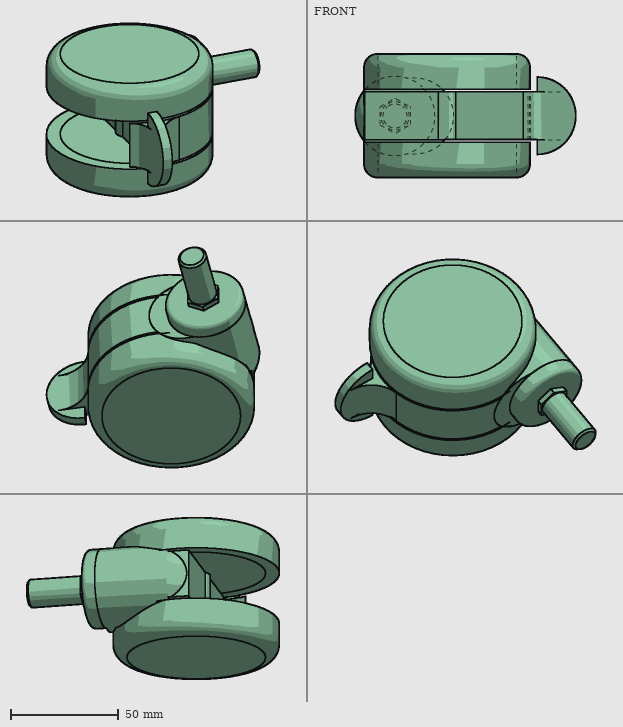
import cadquery as cq
import math

wheel_radius = 38.8
wheel_outer_z = 28.91
wheel_inner_z = 12.3
tire_round = 6.5
hub_radius = wheel_radius - tire_round

swivel_x = -24.3
swivel_radius = 18.6
housing_top_y = 38.8
barrel_bottom_y = 4.5
back_center_x = -14.7
back_radius = 17.7
frame_half_thickness = 11.2
frame_bottom_y = -5.2
boss_radius = 6.6
dome_depth = 9.0
dome_end_radius = 14.0
dome_mid_depth = 4.3
dome_mid_radius = 17.1

cap_top_y = 45.6
cap_round = 2.5
hex_across_flats = 14.3
hex_top_y = 48.3
stud_radius = 6.62
stud_top_y = 74.4
stud_chamfer = 1.0

pedal_radius = 18.1
pedal_center_x = 42.1
pedal_top_y = -4.4
pedal_thickness = 4.6
pedal_bottom_y = pedal_top_y - pedal_thickness
lever_upper_radius = 17.0
lever_lower_radius = 10.6


def rod_along_y(radius, bottom_y, top_y):
    """Round bar on the swivel axis."""
    plane = cq.Plane(origin=(swivel_x, bottom_y, 0), xDir=(0, 0, 1), normal=(0, 1, 0))
    return cq.Workplane(plane).circle(radius).extrude(top_y - bottom_y)


def disc(radius, bottom_z, top_z):
    """Round plate on the wheel axis."""
    return cq.Workplane("XY", origin=(0, 0, bottom_z)).circle(radius).extrude(top_z - bottom_z)


def place_on_side(body, side):
    """Keep a body on the +Z side, or turn it over onto the -Z side."""
    if side > 0:
        return body
    return body.rotate((0, 0, 0), (1, 0, 0), 180)


def make_hub(side):
    return place_on_side(disc(hub_radius, wheel_inner_z, wheel_outer_z), side)


def make_tire(side):
    """Ring whose outer shoulder is a quarter round reaching the hub."""
    shoulder_z = wheel_outer_z - tire_round
    diagonal = tire_round * math.sqrt(0.5)
    ring = (
        cq.Workplane("XZ")
        .moveTo(hub_radius, wheel_inner_z)
        .lineTo(wheel_radius, wheel_inner_z)
        .lineTo(wheel_radius, shoulder_z)
        .threePointArc((hub_radius + diagonal, shoulder_z + diagonal), (hub_radius, wheel_outer_z))
        .close()
        .revolve(360, (0, 0, 0), (0, 1, 0))
    )
    return place_on_side(ring, side)


def make_barrel():
    """Swivel barrel with a flat-sided back, cut away to clear both wheels."""
    height = housing_top_y - barrel_bottom_y
    barrel = rod_along_y(swivel_radius, barrel_bottom_y, housing_top_y)
    back = rod_along_y(back_radius, barrel_bottom_y, housing_top_y).translate((back_center_x - swivel_x, 0, 0))
    sides = cq.Workplane("XY").box(
        back_center_x - swivel_x, height, 2 * back_radius, centered=(False, False, True)
    ).translate((swivel_x, barrel_bottom_y, 0))
    barrel = barrel.union(back).union(sides)
    for side in (1, -1):
        barrel = barrel.cut(place_on_side(disc(wheel_radius, wheel_inner_z, wheel_outer_z), side))
    return barrel


def make_dome():
    """Rounded lower end of the barrel, as thick as the frame."""
    dome = (
        cq.Workplane("XY", origin=(swivel_x, barrel_bottom_y, 0))
        .moveTo(0, 0)
        .lineTo(swivel_radius, 0)
        .threePointArc((dome_mid_radius, -dome_mid_depth), (dome_end_radius, -dome_depth))
        .lineTo(0, -dome_depth)
        .close()
        .revolve(360, (0, 0, 0), (0, 1, 0))
    )
    return dome.intersect(disc(2 * wheel_radius, -frame_half_thickness, frame_half_thickness))


def make_housing():
    """Barrel, dome, and a disc-shaped frame cut flat below the axle boss."""
    frame = disc(wheel_radius, -frame_half_thickness, frame_half_thickness)
    below = cq.Workplane("XY").box(
        2 * wheel_radius, wheel_radius, 2 * frame_half_thickness
    ).translate((0, frame_bottom_y - wheel_radius / 2, 0))
    boss = disc(boss_radius, -frame_half_thickness, frame_half_thickness)
    return frame.cut(below).union(boss).union(make_dome()).union(make_barrel())


def make_cap():
    cap = rod_along_y(swivel_radius, housing_top_y, cap_top_y)
    return cap.faces(">Y").edges().fillet(cap_round)


def make_stud():
    """Stem standing on a hexagon with its corners toward +Z and -Z."""
    plane = cq.Plane(origin=(swivel_x, cap_top_y, 0), xDir=(0, 0, 1), normal=(0, 1, 0))
    hexagon_diameter = hex_across_flats / math.cos(math.pi / 6)
    hexagon = cq.Workplane(plane).polygon(6, hexagon_diameter).extrude(hex_top_y - cap_top_y)
    stem = rod_along_y(stud_radius, hex_top_y, stud_top_y).faces(">Y").edges().chamfer(stud_chamfer)
    return hexagon.union(stem)


def make_lever():
    """Web hugging the frame disc and blending by tangent arcs into a half-round pedal."""
    upper_y = pedal_top_y + lever_upper_radius
    lower_y = pedal_bottom_y - lever_lower_radius
    upper_x = math.sqrt((wheel_radius + lever_upper_radius) ** 2 - upper_y ** 2)
    lower_x = math.sqrt((wheel_radius + lever_lower_radius) ** 2 - lower_y ** 2)
    upper_angle = math.atan2(upper_y, upper_x)
    lower_angle = math.atan2(lower_y, lower_x)

    def on_wheel(angle):
        return (wheel_radius * math.cos(angle), wheel_radius * math.sin(angle))

    upper_mid_angle = (upper_angle + math.pi + 3 * math.pi / 2) / 2
    upper_mid = (
        upper_x + lever_upper_radius * math.cos(upper_mid_angle),
        upper_y + lever_upper_radius * math.sin(upper_mid_angle),
    )
    lower_mid_angle = (lower_angle + math.pi + math.pi / 2) / 2
    lower_mid = (
        lower_x + lever_lower_radius * math.cos(lower_mid_angle),
        lower_y + lever_lower_radius * math.sin(lower_mid_angle),
    )
    web = (
        cq.Workplane("XY", origin=(0, 0, -frame_half_thickness))
        .moveTo(*on_wheel(upper_angle))
        .threePointArc(upper_mid, (upper_x, pedal_top_y))
        .lineTo(lower_x, pedal_bottom_y)
        .threePointArc(lower_mid, on_wheel(lower_angle))
        .threePointArc((wheel_radius, 0), on_wheel(upper_angle))
        .close()
        .extrude(2 * frame_half_thickness)
    )
    pedal_plane = cq.Plane(origin=(pedal_center_x, pedal_bottom_y, 0), xDir=(0, 0, 1), normal=(0, 1, 0))
    pedal = (
        cq.Workplane(pedal_plane)
        .moveTo(-pedal_radius, 0)
        .threePointArc((0, pedal_radius), (pedal_radius, 0))
        .close()
        .extrude(pedal_thickness)
    )
    return web.union(pedal)


housing = make_housing()
cap = make_cap()
stud = make_stud()
lever = make_lever()
hubs = [make_hub(side) for side in (1, -1)]
tires = [make_tire(side) for side in (1, -1)]

result = cq.Compound.makeCompound(
    [body.solids().val() for body in (housing, cap, stud, lever)]
    + [hub.solids().val() for hub in hubs]
    + [tire.solids().val() for tire in tires]
)